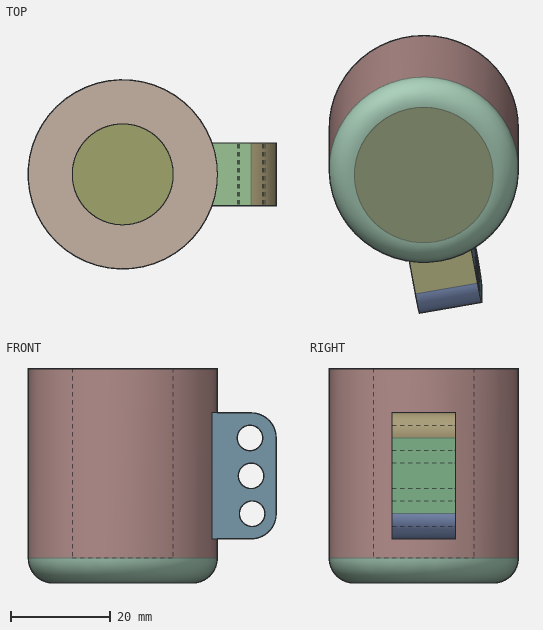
import cadquery as cq

body_diameter = 38.1
body_height = 43.18
bottom_fillet = 5.08

bore_diameter = 20.32
floor_thickness = 5.08

tab_width = 12.7
tab_height = 25.4
tab_tip_x = 30.9
tab_corner_radius = 5.08
tab_center_z = body_height / 2

hole_diameter = 5.08
hole_pitch = 7.62
middle_hole_x = 25.82
hole_row_shift = 0.22


def make_body():
    """Solid cylinder standing on Z = 0 with a rounded bottom edge."""
    body = cq.Workplane("XY").circle(body_diameter / 2).extrude(body_height)
    return body.faces("<Z").edges().fillet(bottom_fillet)


def make_tab():
    """Plate from the body axis out to the tip, with rounded outer corners."""
    tab = (
        cq.Workplane("XY")
        .box(tab_tip_x, tab_width, tab_height, centered=(False, True, True))
        .translate((0, 0, tab_center_z))
    )
    return tab.faces(">X").edges("|Y").fillet(tab_corner_radius)


def make_bore():
    """Cutter for the blind bore, open at the top."""
    return (
        cq.Workplane("XY")
        .workplane(offset=floor_thickness)
        .circle(bore_diameter / 2)
        .extrude(body_height - floor_thickness)
    )


def make_tab_holes():
    """Cutters for the three holes running through the tab along Y."""
    centers = [
        (middle_hole_x - step * hole_row_shift, tab_center_z + step * hole_pitch)
        for step in (-1, 0, 1)
    ]
    return (
        cq.Workplane("XZ")
        .pushPoints(centers)
        .circle(hole_diameter / 2)
        .extrude(tab_width / 2, both=True)
    )


result = make_body().union(make_tab()).cut(make_bore()).cut(make_tab_holes())